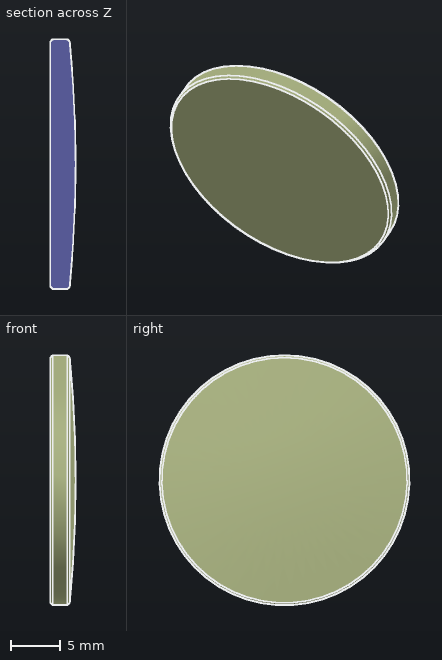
import cadquery as cq

diameter = 25.4
center_thickness = 2.6
edge_chamfer = 0.25
convex_rim_x = 2.0

radius = diameter / 2
face_radius = radius - edge_chamfer

sag = center_thickness - convex_rim_x
sphere_radius = (face_radius**2 + sag**2) / (2 * sag)
mid_radius = face_radius / 2
mid_x = center_thickness - sphere_radius + (sphere_radius**2 - mid_radius**2) ** 0.5


def lens_half_section():
    """Half section in the XZ plane, from the optical axis out to the rim."""
    return (
        cq.Workplane("XZ")
        .lineTo(0, face_radius)
        .lineTo(edge_chamfer, radius)
        .lineTo(convex_rim_x - edge_chamfer, radius)
        .lineTo(convex_rim_x, face_radius)
        .threePointArc((mid_x, mid_radius), (center_thickness, 0))
        .close()
    )


result = lens_half_section().revolve(360, (0, 0, 0), (1, 0, 0))